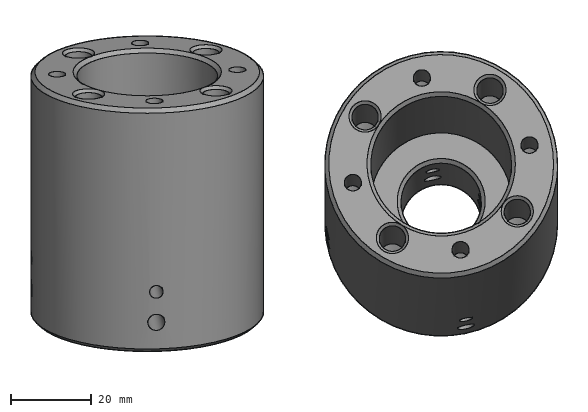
import cadquery as cq
import math

height = 64.0
outer_diameter = 58.0
rim_chamfer = 1.0

wide_bore_diameter = 35.0
shaft_bore_diameter = 20.0
base_thickness = 24.0
bore_chamfer = 0.95

hole_circle_diameter = 45.0
drill_point_angle = 118.0
holes_per_set = 4
diagonal_angle = 45.0
large_hole_diameter = 6.5
large_hole_mouth_diameter = 8.0
large_hole_depth = 20.0
small_hole_diameter = 4.2
small_hole_depth = 12.0

lower_screw_diameter = 4.2
lower_screw_height = base_thickness / 3
upper_screw_diameter = 3.3
upper_screw_height = 2 * base_thickness / 3


def make_body():
    """Chamfered cylinder with the stepped, chamfered bore."""
    cylinder = cq.Workplane("XY").circle(outer_diameter / 2).extrude(height)
    cylinder = cylinder.faces("<Z or >Z").edges().chamfer(rim_chamfer)
    wide_bore = make_bore(wide_bore_diameter, base_thickness, height)
    shaft_bore = make_bore(shaft_bore_diameter, 0, base_thickness)
    return cylinder.cut(wide_bore).cut(shaft_bore)


def make_bore(diameter, bottom, top):
    """Cutter for a vertical bore whose upper edge is chamfered."""
    radius = diameter / 2
    profile = [
        (0, bottom),
        (radius, bottom),
        (radius, top - bore_chamfer),
        (radius + bore_chamfer, top),
        (0, top),
    ]
    return cq.Workplane("XZ").polyline(profile).close().revolve(360, (0, 0), (0, 1))


def make_drilled_hole(diameter, depth, mouth_diameter):
    """Cutter for a hole below the top face, with a 45-degree mouth and a conical end."""
    radius = diameter / 2
    mouth_radius = mouth_diameter / 2
    point_length = radius / math.tan(math.radians(drill_point_angle / 2))
    profile = [(0, height), (mouth_radius, height)]
    if mouth_radius > radius:
        profile.append((radius, height - (mouth_radius - radius)))
    profile.append((radius, height - depth))
    profile.append((0, height - depth - point_length))
    cutter = cq.Workplane("XZ").polyline(profile).close().revolve(360, (0, 0), (0, 1))
    return cutter.translate((hole_circle_diameter / 2, 0, 0))


def make_screw_hole(diameter, axis_height):
    """Cutter for a radial hole from the axis out through the +X side."""
    hole = cq.Workplane("YZ").center(0, axis_height).circle(diameter / 2)
    return hole.extrude(outer_diameter)


def cut_around_axis(body, cutter, start_angle):
    """Cut evenly spaced copies of the cutter around the sleeve axis."""
    for index in range(holes_per_set):
        angle = start_angle + index * 360 / holes_per_set
        body = body.cut(cutter.rotate((0, 0, 0), (0, 0, 1), angle))
    return body


large_hole = make_drilled_hole(large_hole_diameter, large_hole_depth, large_hole_mouth_diameter)
small_hole = make_drilled_hole(small_hole_diameter, small_hole_depth, small_hole_diameter)
lower_screw_hole = make_screw_hole(lower_screw_diameter, lower_screw_height)
upper_screw_hole = make_screw_hole(upper_screw_diameter, upper_screw_height)

result = make_body()
result = cut_around_axis(result, large_hole, 0)
result = cut_around_axis(result, small_hole, diagonal_angle)
result = cut_around_axis(result, lower_screw_hole, diagonal_angle)
result = cut_around_axis(result, upper_screw_hole, diagonal_angle)